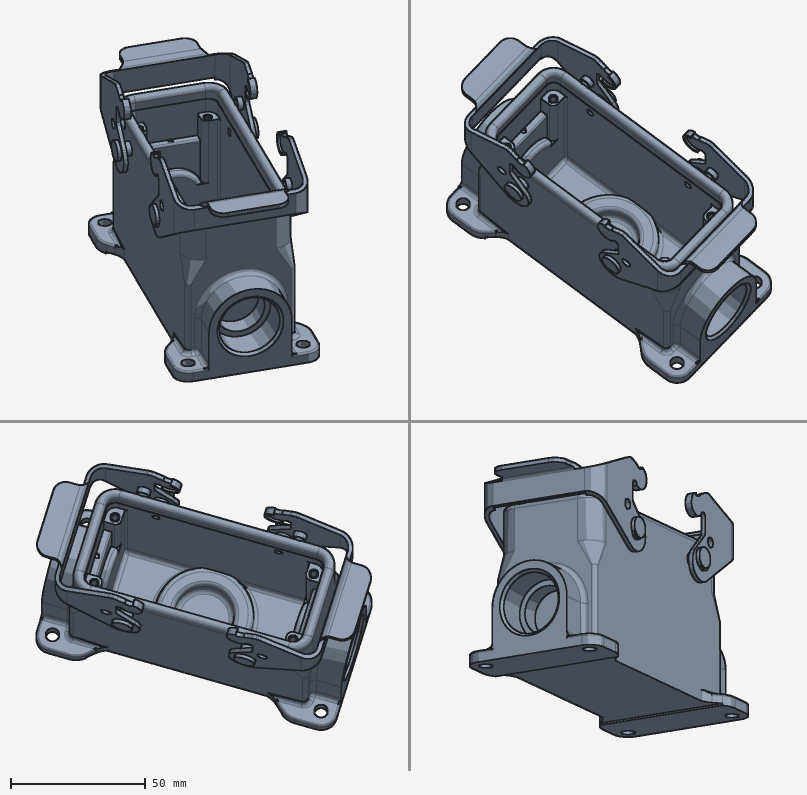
import cadquery as cq
import math

LENGTH_X = 123.4
LENGTH_Y = 57.0
HEIGHT_Z = 79.8
OVERLAP = 1.2
PICK = 0.1

BODY_X = 92.8
BODY_Y = 43.0
BODY_BOTTOM = 0.7
TAPER_START = 34.8
TAPER_END = 44.8
LOWER_CORNER = 1.9
UPPER_CORNER = 7.8
RIM_TOP = 63.3
RIM_WIDTH = 4.1
RIM_R = RIM_WIDTH / 2

MOUTH_X = BODY_X - 2 * RIM_WIDTH
MOUTH_Y = BODY_Y - 2 * RIM_WIDTH
MOUTH_CORNER = UPPER_CORNER - RIM_WIDTH
BAND_BOTTOM = 57.9
WALL_STEP = 0.1
CAVITY_X = MOUTH_X - 2 * WALL_STEP
CAVITY_Y = MOUTH_Y - 2 * WALL_STEP
FLOOR_Z = 4.9
FLOOR_FILLET = 1.9
CORE_CORNER = 1.0
CORE_X = 71.8
POST_TOP = 52.2
POST_GAP = 21.2
POST_FILLET = 2.2
SCREW_X = 38.6
SCREW_Y = 13.5
SCREW_RIM_DIA = 3.5
SCREW_DIA = 2.5
SCREW_RIM_DEPTH = 0.6
SCREW_DEPTH = 14.8
LEDGE_X = 78.2
LEDGE_TOP = 42.6
LEDGE_FILLET = 0.7
LEDGE_HOLE_X = 41.7
LEDGE_HOLE_DIA = 2.0
LEDGE_HOLE_DEPTH = 1.2

COLLAR_R = 18.5
COLLAR_HEIGHT = 4.9
COLLAR_FOOT_FILLET = 1.6
COLLAR_TOP_FILLET = 2.1
COLLAR_BORE_R = 11.2
COLLAR_BORE_TOP_FILLET = 1.6
COLLAR_BORE_FOOT_FILLET = 2.0

ENTRY_FACE_X = 58.2
ENTRY_Z = 20.0
ENTRY_R = 16.2
ENTRY_FILLET = 2.0
ENTRY_BORE_DIA = 23.6
ENTRY_BORE_DEPTH = 12.7
ENTRY_CHAMFER = 1.1
KNOCKOUT_DIA = 19.0
KNOCKOUT_DEPTH = 7.4
HUB_R = 11.7
HUB_FILLET = 1.9

FOOT_TOP = 4.6
FOOT_CORNER = 6.0
FOOT_EDGE_FILLET = 0.7
FOOT_ROOT_FILLET = 1.9
FOOT_ROOT_TIP = 0.5
FOOT_HOLE_DIA = 5.0
FOOT_FLAT_END_X = 43.9
FOOT_PAD_END_X = 38.1
FOOT_PAD_END_Y = 26.4
FOOT_NECK_X = 35.2
FOOT_NECK_Y = 23.7
FOOT_TIP_X = 31.1

SHEET = 1.7
LEVER_X = 51.7
LEVER_Y = 52.0
LEVER_BEND = 6.2
BAR_TOP = 70.8
BAR_BOTTOM = 61.6
PIVOT = (-23.8, 53.5)
PIVOT_DIA = 5.5
PIVOT_HEAD_DIA = 8.0
PIVOT_HEAD_HEIGHT = 1.5
PIVOT_DIMPLE_DIA = 3.0
PIVOT_DIMPLE_DEPTH = 1.0
PIVOT_WASHER_HEIGHT = 1.0
PIVOT_WASHER = (-24.4, 51.6)
STUD = (-30.4, 61.2)
STUD_DIA = 5.0
STUD_HOLE_DIA = 3.8
STUD_HEIGHT = 2.2
BLADE_END = (-24.1, 51.3)
BLADE_END_R = 6.8
BLADE_LOWER_ANGLE = 34.0
BLADE_UPPER_ANGLE = 45.0
BLADE_INNER_X = -26.5
WAIST_FILLET = 1.5
NOTCH_Z = 69.8
NOTCH_TOP = (-24.7, 71.6)
HOOK = (-20.9, 73.7)
HOOK_R = 4.5
HOOK_TIP_ANGLE = 233.0
HOOK_NECK_X = -20.0
HOOK_NECK_ANGLE = math.degrees(math.acos((HOOK_NECK_X - HOOK[0]) / HOOK_R))
SADDLE_END_Z = 77.2
SADDLE_LOW = (-21.2, 77.0)
SADDLE_START = (-23.1, 78.0)
PEAK_END = (-26.2, 79.3)
PEAK = (-27.8, HEIGHT_Z)
PEAK_START = (-29.5, 79.6)
HOOK_LIP = 1.0

TAB_TOP = 73.5
TAB_Y = 30.1
TAB_ROOT_Y = 36.0
TAB_CORNER = 4.9
TAB_BEND = 1.0


def both_ends(solid):
    return solid.union(solid.mirror("YZ"))


def both_sides(solid):
    return solid.union(solid.mirror("XZ"))


def on_circle(centre, radius, degrees):
    angle = math.radians(degrees)
    return (centre[0] + radius * math.cos(angle), centre[1] + radius * math.sin(angle))


def block(size_x, size_y, bottom, top, corner=0.0):
    solid = cq.Workplane("XY").workplane(offset=bottom).rect(size_x, size_y).extrude(top - bottom)
    if corner:
        solid = solid.edges("|Z").fillet(corner)
    return solid


def cylinder_x(radius, start, end):
    plane = cq.Workplane("YZ").workplane(offset=start)
    return plane.center(0, ENTRY_Z).circle(radius).extrude(end - start)


def disc_y(centre, diameter, start, end):
    plane = cq.Workplane("XZ", origin=(0, start, 0))
    return plane.center(*centre).circle(diameter / 2).extrude(-(end - start))


def rounded_outline(corner):
    return cq.Sketch().rect(BODY_X, BODY_Y).vertices().fillet(corner)


def make_rim():
    """Round bead on top of the walls, running once around the mouth."""
    centre_x = BODY_X - RIM_WIDTH
    centre_y = BODY_Y - RIM_WIDTH
    centre_z = RIM_TOP - RIM_R
    middle = block(centre_x, centre_y, TAPER_END, centre_z, UPPER_CORNER - RIM_R)
    path = cq.Workplane(middle.faces(">Z").wires().val())
    section = cq.Workplane("YZ", origin=(0, -centre_y / 2, centre_z))
    return section.circle(RIM_R).sweep(path)


def make_body():
    """Solid body whose vertical corners widen from the lower to the upper radius."""
    lower = block(BODY_X, BODY_Y, BODY_BOTTOM, TAPER_START, LOWER_CORNER)
    taper = (
        cq.Workplane("XY")
        .placeSketch(
            rounded_outline(LOWER_CORNER).moved(cq.Location(cq.Vector(0, 0, TAPER_START))),
            rounded_outline(UPPER_CORNER).moved(cq.Location(cq.Vector(0, 0, TAPER_END))),
        )
        .loft()
    )
    upper = block(BODY_X, BODY_Y, TAPER_END, RIM_TOP - RIM_R, UPPER_CORNER)
    mouth = block(MOUTH_X, MOUTH_Y, BAND_BOTTOM, RIM_TOP, MOUTH_CORNER)
    return lower.union(taper).union(upper.cut(mouth)).union(make_rim())


def make_entry():
    """Arched block of the cable entry at the -X end."""
    return (
        cq.Workplane("YZ")
        .workplane(offset=-ENTRY_FACE_X)
        .moveTo(-ENTRY_R, BODY_BOTTOM)
        .lineTo(-ENTRY_R, ENTRY_Z)
        .threePointArc((0, ENTRY_Z + ENTRY_R), (ENTRY_R, ENTRY_Z))
        .lineTo(ENTRY_R, BODY_BOTTOM)
        .close()
        .extrude(ENTRY_FACE_X - BODY_X / 2 + OVERLAP)
    )


def fillet_entry_roots(housing):
    """Fillet the arches where the entries leave both end walls of the body."""
    wall_x = BODY_X / 2
    side_y = ENTRY_R + PICK
    bottom = BODY_BOTTOM + PICK
    top = ENTRY_Z + side_y
    left = cq.selectors.BoxSelector((-wall_x - PICK, -side_y, bottom), (-wall_x + PICK, side_y, top))
    right = cq.selectors.BoxSelector((wall_x - PICK, -side_y, bottom), (wall_x + PICK, side_y, top))
    return housing.edges(left + right).fillet(ENTRY_FILLET)


def make_foot_plan(height, with_tip):
    """Prism on the outline of the feet of the -X end, from the ground up."""
    half_y = LENGTH_Y / 2
    half = (
        cq.Workplane("XY")
        .moveTo(-ENTRY_FACE_X, 0)
        .lineTo(-ENTRY_FACE_X, half_y - FOOT_CORNER)
        .tangentArcPoint((-ENTRY_FACE_X + FOOT_CORNER, half_y), relative=False)
        .lineTo(-FOOT_FLAT_END_X, half_y)
        .tangentArcPoint((-FOOT_PAD_END_X, FOOT_PAD_END_Y), relative=False)
        .lineTo(-FOOT_NECK_X, FOOT_NECK_Y)
    )
    if with_tip:
        half = half.tangentArcPoint((-FOOT_TIP_X, BODY_Y / 2), relative=False).lineTo(-FOOT_TIP_X, 0)
    else:
        half = half.lineTo(-FOOT_NECK_X, 0)
    return both_sides(half.close().extrude(height))


def make_foot():
    """Feet of the -X end: rounded top edge up to the neck, sharp tip running into the body wall."""
    rounded = make_foot_plan(FOOT_TOP, with_tip=False)
    rounded = rounded.faces(">Z").edges("not >X").fillet(FOOT_EDGE_FILLET)
    neck_to_neck = block(2 * FOOT_NECK_X, LENGTH_Y, 0, FOOT_TOP)
    tip = make_foot_plan(FOOT_TOP, with_tip=True).intersect(neck_to_neck)
    raised_part = block(2 * FOOT_PAD_END_X, LENGTH_Y, 0, BODY_BOTTOM)
    return rounded.union(tip).cut(raised_part)


def make_foot_roots(housing):
    """Fillet where the feet meet the walls, cut off at the outline of the feet."""
    plate = block(2 * ENTRY_FACE_X, LENGTH_Y, BODY_BOTTOM, FOOT_TOP)
    corner = cq.Vector(ENTRY_FACE_X - PICK, BODY_Y / 2 + PICK, PICK)
    level = cq.Vector(0, 0, FOOT_TOP)
    roots = cq.selectors.BoxSelector((level - corner).toTuple(), (level + corner).toTuple())
    filleted = housing.union(plate).edges(roots).fillet(FOOT_ROOT_FILLET)
    band = (
        cq.Workplane("XZ", origin=(0, LENGTH_Y / 2, 0))
        .moveTo(-ENTRY_FACE_X, FOOT_TOP)
        .lineTo(-ENTRY_FACE_X, FOOT_TOP + FOOT_ROOT_FILLET)
        .lineTo(-BODY_X / 2, FOOT_TOP + FOOT_ROOT_FILLET)
        .lineTo(-FOOT_TIP_X, FOOT_TOP + FOOT_ROOT_TIP)
        .lineTo(-FOOT_TIP_X, FOOT_TOP)
        .close()
        .extrude(LENGTH_Y)
    )
    outline = both_ends(make_foot_plan(FOOT_TOP + FOOT_ROOT_FILLET, with_tip=True))
    return filleted.intersect(both_ends(band)).intersect(outline)


def make_hub():
    """Round end of the entry tube of the -X end, standing out of the ledge wall into the cavity."""
    hub = cylinder_x(HUB_R, -LEDGE_X / 2 - OVERLAP, -CORE_X / 2)
    return hub.faces(">X").edges().fillet(HUB_FILLET)


def make_post_roundings(bottom):
    """Waste that rounds the free vertical edges of the four screw posts."""
    edge_x = CORE_X / 2
    edge_y = POST_GAP / 2
    square = block(POST_FILLET, POST_FILLET, bottom, POST_TOP)
    waste = square.translate((-edge_x - POST_FILLET / 2, edge_y + POST_FILLET / 2, 0))
    round_post = cq.Workplane("XY", origin=(-edge_x - POST_FILLET, edge_y + POST_FILLET, bottom))
    waste = waste.cut(round_post.circle(POST_FILLET).extrude(POST_TOP - bottom))
    return both_ends(both_sides(waste))


def make_cavity():
    """Waste inside the walls, sparing the screw posts, ledges and entry hubs."""
    hub_side_z = ENTRY_Z + math.sqrt(HUB_R**2 - (POST_GAP / 2) ** 2)
    above_posts = block(CAVITY_X, CAVITY_Y, POST_TOP, BAND_BOTTOM, MOUTH_CORNER)
    core = block(CORE_X, CAVITY_Y, FLOOR_Z, POST_TOP)
    core = core.faces("<Z").edges().fillet(FLOOR_FILLET)
    core = core.edges("|Z").fillet(CORE_CORNER)
    above_ledge = block(CAVITY_X, POST_GAP, LEDGE_TOP, POST_TOP)
    ledge_gap = block(LEDGE_X, POST_GAP, hub_side_z, LEDGE_TOP)
    cavity = above_posts.union(above_ledge).union(ledge_gap)
    lip = cq.selectors.BoxSelector(
        (-LEDGE_X / 2 - PICK, -PICK, LEDGE_TOP - PICK),
        (LEDGE_X / 2 + PICK, PICK, LEDGE_TOP + PICK),
    )
    cavity = cavity.edges(lip).fillet(LEDGE_FILLET)
    return cavity.cut(both_ends(make_hub())).union(core).union(make_post_roundings(hub_side_z))


def make_floor_collar():
    """Rounded ring around the middle of the cavity floor."""
    foot_r = COLLAR_R + COLLAR_FOOT_FILLET
    top = FLOOR_Z + COLLAR_HEIGHT
    return (
        cq.Workplane("XZ")
        .moveTo(foot_r, FLOOR_Z - OVERLAP)
        .lineTo(foot_r, FLOOR_Z)
        .radiusArc((COLLAR_R, FLOOR_Z + COLLAR_FOOT_FILLET), COLLAR_FOOT_FILLET)
        .lineTo(COLLAR_R, top - COLLAR_TOP_FILLET)
        .radiusArc((COLLAR_R - COLLAR_TOP_FILLET, top), -COLLAR_TOP_FILLET)
        .lineTo(COLLAR_BORE_R + COLLAR_BORE_TOP_FILLET, top)
        .radiusArc((COLLAR_BORE_R, top - COLLAR_BORE_TOP_FILLET), -COLLAR_BORE_TOP_FILLET)
        .lineTo(COLLAR_BORE_R, FLOOR_Z + COLLAR_BORE_FOOT_FILLET)
        .radiusArc((COLLAR_BORE_R - COLLAR_BORE_FOOT_FILLET, FLOOR_Z), COLLAR_BORE_FOOT_FILLET)
        .lineTo(COLLAR_BORE_R - COLLAR_BORE_FOOT_FILLET, FLOOR_Z - OVERLAP)
        .close()
        .revolve(360, (0, 0, 0), (0, 1, 0))
    )


def cut_post_holes(housing):
    for x in (-SCREW_X, SCREW_X):
        for y in (-SCREW_Y, SCREW_Y):
            top = cq.Workplane("XY", origin=(x, y, POST_TOP))
            housing = housing.cut(top.circle(SCREW_RIM_DIA / 2).extrude(-SCREW_RIM_DEPTH))
            housing = housing.cut(top.circle(SCREW_DIA / 2).extrude(-SCREW_DEPTH))
    return housing


def make_ledge_holes():
    hole = (
        cq.Workplane("XY", origin=(-LEDGE_HOLE_X, 0, LEDGE_TOP))
        .circle(LEDGE_HOLE_DIA / 2)
        .extrude(-LEDGE_HOLE_DEPTH)
    )
    return both_ends(hole)


def make_entry_bores():
    mouth_r = ENTRY_BORE_DIA / 2
    face = -ENTRY_FACE_X
    step = face + ENTRY_BORE_DEPTH
    bore = cylinder_x(mouth_r, face, step)
    bore = bore.union(cylinder_x(KNOCKOUT_DIA / 2, face, step + KNOCKOUT_DEPTH))
    lead_in = cq.Solid.makeCone(
        mouth_r + ENTRY_CHAMFER,
        mouth_r,
        ENTRY_CHAMFER,
        pnt=cq.Vector(face, 0, ENTRY_Z),
        dir=cq.Vector(1, 0, 0),
    )
    return both_ends(bore.union(cq.Workplane(lead_in)))


def make_foot_holes():
    hole_x = ENTRY_FACE_X - FOOT_CORNER
    hole_y = LENGTH_Y / 2 - FOOT_CORNER
    return (
        cq.Workplane("XY")
        .rect(2 * hole_x, 2 * hole_y, forConstruction=True)
        .vertices()
        .circle(FOOT_HOLE_DIA / 2)
        .extrude(FOOT_TOP)
    )


def make_housing():
    housing = make_body().union(both_ends(make_entry()))
    housing = fillet_entry_roots(housing)
    housing = housing.union(make_foot_roots(housing)).union(both_ends(make_foot()))
    housing = housing.cut(make_cavity()).union(make_floor_collar())
    housing = cut_post_holes(housing).cut(make_ledge_holes())
    housing = housing.cut(make_entry_bores()).cut(make_foot_holes())
    return housing


def make_blade_profile():
    """Prism across the lever with the side outline of its blades."""
    lower_angle = -90 - BLADE_LOWER_ANGLE
    lower = on_circle(BLADE_END, BLADE_END_R, lower_angle)
    upper = on_circle(BLADE_END, BLADE_END_R, BLADE_UPPER_ANGLE)
    end_middle = on_circle(BLADE_END, BLADE_END_R, (lower_angle + BLADE_UPPER_ANGLE) / 2)
    lower_rise = (lower[0] + LEVER_X) * math.tan(math.radians(BLADE_LOWER_ANGLE))
    upper_slope = math.tan(math.radians(BLADE_UPPER_ANGLE))
    waist_z = upper[1] + (upper[0] - BLADE_INNER_X) / upper_slope
    hook_right = (HOOK[0] + HOOK_R, HOOK[1])
    profile = (
        cq.Workplane("XZ", origin=(0, LEVER_Y / 2, 0))
        .moveTo(-LEVER_X, lower[1] + lower_rise)
        .lineTo(*lower)
        .threePointArc(end_middle, upper)
        .lineTo(BLADE_INNER_X, waist_z)
        .lineTo(BLADE_INNER_X, NOTCH_Z)
        .threePointArc(NOTCH_TOP, on_circle(HOOK, HOOK_R, HOOK_TIP_ANGLE))
        .threePointArc(hook_right, on_circle(HOOK, HOOK_R, HOOK_NECK_ANGLE))
        .lineTo(HOOK_NECK_X, SADDLE_END_Z)
        .threePointArc(SADDLE_LOW, SADDLE_START)
        .lineTo(*PEAK_END)
        .threePointArc(PEAK, PEAK_START)
        .lineTo(-LEVER_X, BAR_TOP)
        .close()
        .extrude(LEVER_Y)
    )
    waist = cq.selectors.NearestToPointSelector((BLADE_INNER_X, 0, waist_z))
    return profile.edges("|Y").edges(waist).fillet(WAIST_FILLET)


def make_bent_strip():
    """Sheet bent to a U around the -X end: the cross bar and both side blades, full height."""

    def u_block(inset):
        corner = LEVER_BEND - inset
        width = LEVER_Y - 2 * inset
        solid = cq.Workplane("XY").moveTo(-LEVER_X + inset, -width / 2)
        solid = solid.lineTo(0, -width / 2).lineTo(0, width / 2).lineTo(-LEVER_X + inset, width / 2)
        return solid.close().extrude(HEIGHT_Z).edges("|Z and <X").fillet(corner)

    return u_block(0).cut(u_block(SHEET))


def make_tab():
    """Finger tab: the top of the cross bar bent outward, flaring into the bar at its root."""
    bend_x = -LEVER_X - TAB_BEND
    outer_bend = TAB_BEND + SHEET
    bent = (
        cq.Workplane("XZ", origin=(0, TAB_ROOT_Y / 2, 0))
        .moveTo(-LENGTH_X / 2, TAB_TOP)
        .lineTo(bend_x, TAB_TOP)
        .tangentArcPoint((-LEVER_X + SHEET, TAB_TOP - outer_bend), relative=False)
        .lineTo(-LEVER_X, TAB_TOP - outer_bend)
        .radiusArc((bend_x, TAB_TOP - SHEET), -TAB_BEND)
        .lineTo(-LENGTH_X / 2, TAB_TOP - SHEET)
        .close()
        .extrude(TAB_ROOT_Y)
    )
    half = TAB_Y / 2
    inner_x = -LEVER_X + SHEET
    plan = (
        cq.Workplane("XY")
        .moveTo(-LENGTH_X / 2, 0)
        .lineTo(-LENGTH_X / 2, half - TAB_CORNER)
        .tangentArcPoint((-LENGTH_X / 2 + TAB_CORNER, half), relative=False)
        .lineTo(bend_x - TAB_BEND, half)
        .tangentArcPoint((inner_x, TAB_ROOT_Y / 2), relative=False)
        .lineTo(inner_x, 0)
        .close()
        .extrude(HEIGHT_Z)
    )
    return bent.intersect(both_sides(plan))


def make_hook_lip(blade_y):
    """Raised rim on the inner blade face, along the round edge from the hook tip to its neck."""
    top_y = blade_y + HOOK_LIP
    ring = disc_y(HOOK, 2 * HOOK_R, blade_y, top_y)
    ring = ring.cut(disc_y(HOOK, 2 * (HOOK_R - HOOK_LIP), blade_y, top_y))
    reach = 2 * HOOK_R
    back = (HOOK_NECK_ANGLE + HOOK_TIP_ANGLE) / 2
    open_side = (
        cq.Workplane("XZ", origin=(0, top_y, 0))
        .polyline(
            [
                HOOK,
                on_circle(HOOK, reach, HOOK_NECK_ANGLE),
                on_circle(HOOK, reach, back),
                on_circle(HOOK, reach, HOOK_TIP_ANGLE),
            ]
        )
        .close()
        .extrude(HOOK_LIP)
    )
    return ring.cut(open_side)


def make_side_details():
    """Hook lip, stud and pivot of the -Y blade, with the pivot reaching into the housing wall."""
    outer_y = -LEVER_Y / 2
    inner_y = outer_y + SHEET
    lip = make_hook_lip(inner_y)
    stud = disc_y(STUD, STUD_DIA, inner_y, inner_y + STUD_HEIGHT)
    shaft = disc_y(PIVOT, PIVOT_DIA, outer_y, -BODY_Y / 2 + OVERLAP)
    head = disc_y(PIVOT, PIVOT_HEAD_DIA, outer_y - PIVOT_HEAD_HEIGHT, outer_y)
    washer = disc_y(PIVOT_WASHER, PIVOT_DIA, outer_y - PIVOT_WASHER_HEIGHT, outer_y)
    return lip.union(stud).union(shaft).union(head).union(washer)


def make_lever():
    lever = make_bent_strip().intersect(make_blade_profile())
    bar_y = LEVER_Y - 2 * LEVER_BEND
    lever = lever.cut(block(2 * LEVER_X, bar_y, 0, BAR_BOTTOM))
    lever = lever.union(make_tab()).union(both_sides(make_side_details()))
    outer_y = -LEVER_Y / 2
    stud_hole = disc_y(STUD, STUD_HOLE_DIA, outer_y, outer_y + SHEET + STUD_HEIGHT)
    return lever.cut(both_sides(stud_hole))


def make_pivot_dimples():
    wall_y = -CAVITY_Y / 2
    dimple = disc_y(PIVOT, PIVOT_DIMPLE_DIA, wall_y - PIVOT_DIMPLE_DEPTH, wall_y)
    return both_ends(both_sides(dimple))


result = make_housing().union(both_ends(make_lever())).cut(make_pivot_dimples())